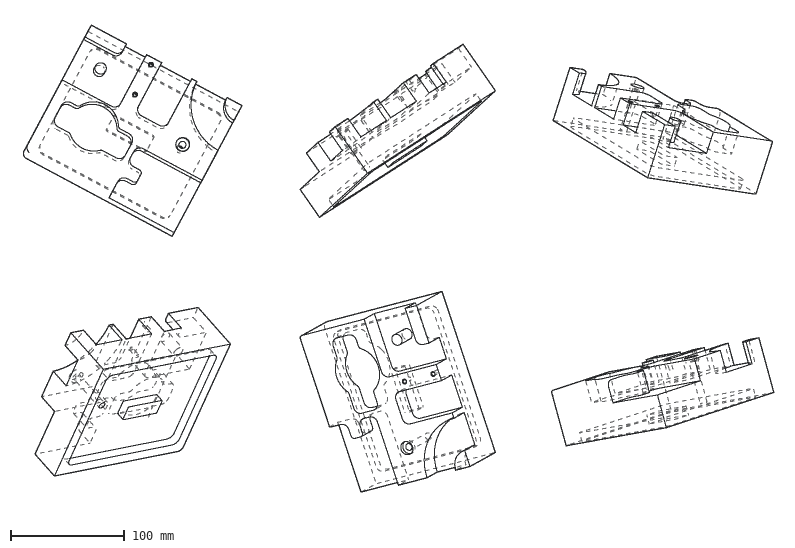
import cadquery as cq
import math

LENGTH = 150.0
WIDTH = 125.0
THICKNESS = 50.0
EDGE_FILLET = 5.0
TILT_X = 35.0
TILT_Y = 20.0

RECESS_DEPTH = 20.0
FLOOR = THICKNESS - RECESS_DEPTH
CORNER_RADIUS = 6.0

POCKET_FRONT = 70.0
TAB_WIDTH = 12.0
TAB_END = 35.0
RIB_START = 55.0
RIB_WIDTH = 15.0
RIB_END = RIB_START + RIB_WIDTH
PIN_DIAMETER = 10.0
PIN_CENTER = (25.0, 95.0)

MIDDLE_POCKET_END = 100.0
MIDDLE_POCKET_FRONT = 75.0

RING_OUTER_RADIUS = 45.0
RING_INNER_RADIUS = 15.0

SHELF_START = 85.0
SHELF_BACK = 50.0
TONGUE_END = 100.0
TONGUE_FRONT = 20.0
TONGUE_WIDTH = 12.0
TONGUE_BACK = TONGUE_FRONT + TONGUE_WIDTH
TONGUE_RADIUS = 3.0

SLOT_START = 10.0
SLOT_END = 80.0
SLOT_FRONT = 31.6
SLOT_BACK = 55.9
BULGE_CENTER = (43.5, 46.8)
BULGE_RADIUS = 21.8
BULGE_FILLET = 3.0

RIB_HOLE_DIAMETER = 3.2
RIB_HOLE_MOUTH_DIAMETER = 4.3
RIB_HOLE_DEPTH = 10.0
RIB_HOLE_BACK_OFFSET = 6.0
RIB_HOLE_PITCH = 30.0
SCREW_CENTER = (120.0, 70.0)
SCREW_DIAMETER = 6.0
SCREW_HEAD_DIAMETER = 12.0
SCREW_HEAD_DEPTH = 4.0

UNDERSIDE_WALL = 10.0
UNDERSIDE_DEPTH = 8.0
KEY_LENGTH = 40.0
KEY_WIDTH = 15.0
KEY_FILLET = 1.0


def rounded_prism(corners):
    """Recess-deep prism from (x, y, radius) corners; a zero radius is a sharp corner."""
    path = None
    for i, (x, y, radius) in enumerate(corners):
        corner = cq.Vector(x, y)
        back = (cq.Vector(*corners[i - 1][:2]) - corner).normalized()
        ahead = (cq.Vector(*corners[(i + 1) % len(corners)][:2]) - corner).normalized()
        half_angle = back.getAngle(ahead) / 2
        setback = radius / math.tan(half_angle)
        start = (corner + back * setback).toTuple()[:2]
        if path is None:
            path = cq.Workplane("XY", origin=(0, 0, FLOOR)).moveTo(*start)
        else:
            path = path.lineTo(*start)
        if radius > 0:
            bisector = (back + ahead).normalized()
            middle = corner + bisector * (radius / math.sin(half_angle) - radius)
            end = corner + ahead * setback
            path = path.threePointArc(middle.toTuple()[:2], end.toTuple()[:2])
    return path.close().extrude(RECESS_DEPTH)


def recess_cylinder(center, radius):
    return cq.Workplane("XY", origin=(0, 0, FLOOR)).center(*center).circle(radius).extrude(RECESS_DEPTH)


def left_pocket():
    pocket = rounded_prism([
        (0, POCKET_FRONT, 0),
        (RIB_START, POCKET_FRONT, CORNER_RADIUS),
        (RIB_START, WIDTH, 0),
        (TAB_END, WIDTH, 0),
        (TAB_END, WIDTH - TAB_WIDTH, CORNER_RADIUS),
        (0, WIDTH - TAB_WIDTH, 0),
    ])
    return pocket.cut(recess_cylinder(PIN_CENTER, PIN_DIAMETER / 2))


def middle_pocket():
    return rounded_prism([
        (RIB_END, MIDDLE_POCKET_FRONT, CORNER_RADIUS),
        (MIDDLE_POCKET_END, MIDDLE_POCKET_FRONT, CORNER_RADIUS),
        (MIDDLE_POCKET_END, WIDTH, 0),
        (RIB_END, WIDTH, 0),
    ])


def corner_ring():
    corner = (LENGTH, WIDTH)
    return recess_cylinder(corner, RING_OUTER_RADIUS).cut(recess_cylinder(corner, RING_INNER_RADIUS))


def front_shelf():
    return rounded_prism([
        (SHELF_START, 0, 0),
        (LENGTH, 0, 0),
        (LENGTH, SHELF_BACK, 0),
        (SHELF_START, SHELF_BACK, CORNER_RADIUS),
        (SHELF_START, TONGUE_BACK, CORNER_RADIUS),
        (TONGUE_END, TONGUE_BACK, TONGUE_RADIUS),
        (TONGUE_END, TONGUE_FRONT, TONGUE_RADIUS),
        (SHELF_START, TONGUE_FRONT, CORNER_RADIUS),
    ])


def bulged_slot():
    slot = rounded_prism([
        (SLOT_START, SLOT_FRONT, CORNER_RADIUS),
        (SLOT_END, SLOT_FRONT, CORNER_RADIUS),
        (SLOT_END, SLOT_BACK, CORNER_RADIUS),
        (SLOT_START, SLOT_BACK, CORNER_RADIUS),
    ])
    recess = slot.union(recess_cylinder(BULGE_CENTER, BULGE_RADIUS))
    middle_height = FLOOR + RECESS_DEPTH / 2
    for y in (SLOT_FRONT, SLOT_BACK):
        half_chord = math.sqrt(BULGE_RADIUS**2 - (y - BULGE_CENTER[1])**2)
        for side in (-1, 1):
            junction = (BULGE_CENTER[0] + side * half_chord, y, middle_height)
            recess = recess.edges(cq.NearestToPointSelector(junction)).fillet(BULGE_FILLET)
    return recess


def underside_pocket():
    center = (LENGTH / 2, WIDTH / 2)
    pocket = (
        cq.Workplane("XY").center(*center)
        .rect(LENGTH - 2 * UNDERSIDE_WALL, WIDTH - 2 * UNDERSIDE_WALL)
        .extrude(UNDERSIDE_DEPTH).edges("|Z").fillet(CORNER_RADIUS)
    )
    key = (
        cq.Workplane("XY").center(*center).rect(KEY_LENGTH, KEY_WIDTH)
        .extrude(UNDERSIDE_DEPTH).edges("|Z").fillet(KEY_FILLET)
    )
    return pocket.cut(key)


def plain_block():
    return cq.Workplane("XY").box(LENGTH, WIDTH, THICKNESS, centered=False)


block = plain_block().edges("|Z and <X and <Y").fillet(EDGE_FILLET)
block = block.intersect(plain_block().edges("|X and >Z and <Y").fillet(EDGE_FILLET))
recesses = (
    left_pocket(), middle_pocket(), corner_ring(),
    front_shelf(), bulged_slot(), underside_pocket(),
)
for recess in recesses:
    block = block.cut(recess)

rib_middle = RIB_START + RIB_WIDTH / 2
back_hole_y = WIDTH - RIB_HOLE_BACK_OFFSET
top = cq.Workplane("XY", origin=(0, 0, THICKNESS))
chamfer = (RIB_HOLE_MOUTH_DIAMETER - RIB_HOLE_DIAMETER) / 2
for hole_y in (back_hole_y, back_hole_y - RIB_HOLE_PITCH):
    mouth = top.center(rib_middle, hole_y)
    hole = mouth.circle(RIB_HOLE_DIAMETER / 2).extrude(-RIB_HOLE_DEPTH)
    countersink = mouth.circle(RIB_HOLE_MOUTH_DIAMETER / 2).extrude(-chamfer, taper=45)
    block = block.cut(hole).cut(countersink)

screw_hole = top.center(*SCREW_CENTER).circle(SCREW_DIAMETER / 2).extrude(-THICKNESS)
screw_head = top.center(*SCREW_CENTER).circle(SCREW_HEAD_DIAMETER / 2).extrude(-SCREW_HEAD_DEPTH)
block = block.cut(screw_hole).cut(screw_head)

result = block.rotate((0, 0, 0), (1, 0, 0), TILT_X).rotate((0, 0, 0), (0, 1, 0), TILT_Y)